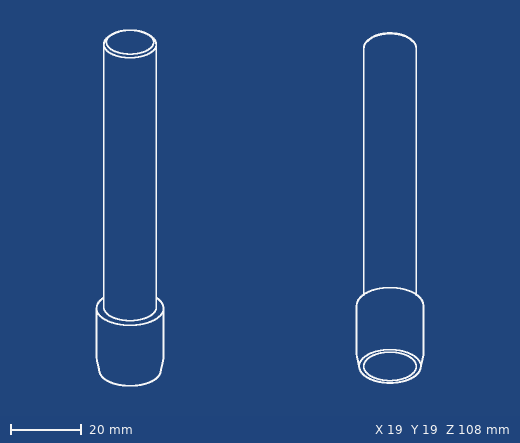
import cadquery as cq

total_length = 108.0
pin_diameter = 14.9
pin_chamfer = 0.8
sleeve_diameter = 19.0
sleeve_length = 20.7
sleeve_shoulder_drop = 0.3
sleeve_taper_length = 4.1
sleeve_tip_diameter = 17.5

pin_radius = pin_diameter / 2
sleeve_radius = sleeve_diameter / 2
sleeve_tip_radius = sleeve_tip_diameter / 2


def make_pin():
    """Straight round pin, running the full length, chamfered at its top end."""
    pin = cq.Workplane("XY").circle(pin_radius).extrude(total_length)
    return pin.faces(">Z").chamfer(pin_chamfer)


def make_sleeve():
    """Sleeve around the foot of the pin, tapered toward its lower end, with a shallow conical top face."""
    return (
        cq.Workplane("XZ")
        .moveTo(pin_radius, 0)
        .lineTo(sleeve_tip_radius, 0)
        .lineTo(sleeve_radius, sleeve_taper_length)
        .lineTo(sleeve_radius, sleeve_length - sleeve_shoulder_drop)
        .lineTo(pin_radius, sleeve_length)
        .close()
        .revolve(360, (0, 0, 0), (0, 1, 0))
    )


pin = make_pin()
sleeve = make_sleeve()

result = cq.Compound.makeCompound([pin.val(), sleeve.val()])